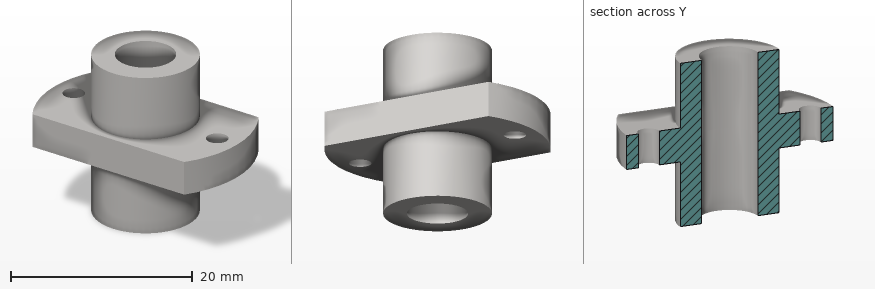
import cadquery as cq

flange_diameter = 24.95
flange_width = 14.0
flange_thickness = 4.0

sleeve_diameter = 12.0
sleeve_length = 19.0
bore_diameter = 6.75

hole_diameter = 2.5
hole_spacing = 19.5


def centred_cylinder(diameter, length):
    return cq.Workplane("XY").circle(diameter / 2).extrude(length / 2, both=True)


def make_flange():
    disc = centred_cylinder(flange_diameter, flange_thickness)
    flats = cq.Workplane("XY").box(flange_diameter, flange_width, flange_thickness)
    holes = (
        cq.Workplane("XY")
        .pushPoints([(-hole_spacing / 2, 0), (hole_spacing / 2, 0)])
        .circle(hole_diameter / 2)
        .extrude(flange_thickness, both=True)
    )
    return disc.intersect(flats).cut(holes)


sleeve = centred_cylinder(sleeve_diameter, sleeve_length)
bore = centred_cylinder(bore_diameter, sleeve_length)
result = make_flange().union(sleeve).cut(bore)